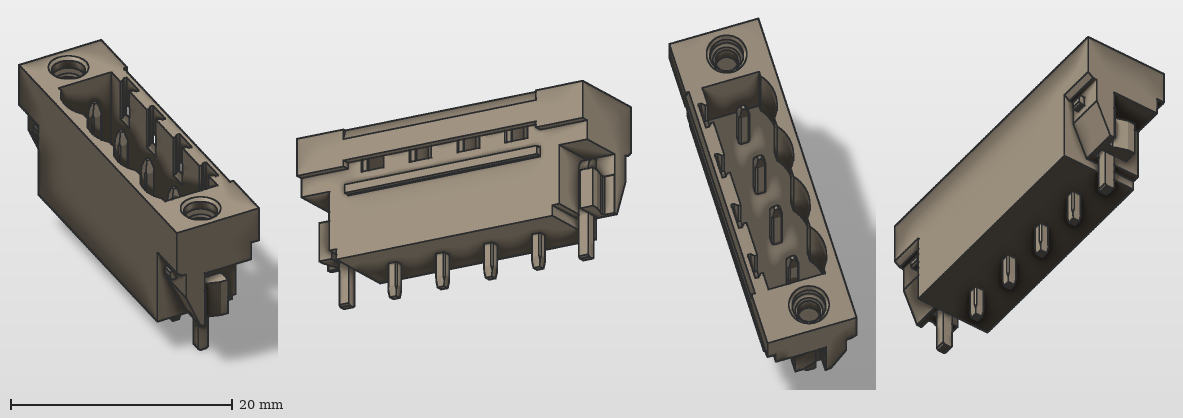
import cadquery as cq


LENGTH = 30.25
HEIGHT = 12.0
FRONT_Y = -3.75
BACK_Y = 4.67
LOWER_BACK_Y = 3.88
OVERHANG_Z = 8.45
CENTER_OVERHANG_Z = 9.05
CORE_LENGTH = 22.85
FLANGE_BOTTOM_Z = 1.0
END_X = LENGTH / 2
CORE_END_X = CORE_LENGTH / 2

POLES = 4
POLE_SPAN = 15.22
PITCH = POLE_SPAN / (POLES - 1)
POLE_XS = [(i - (POLES - 1) / 2) * PITCH for i in range(POLES)]
CAVITY_LENGTH = 20.38
CAVITY_FRONT_Y = -2.3
CAVITY_BACK_Y = 3.05
CAVITY_FLOOR_Z = 3.35
SCALLOP_HALF_WIDTH = 2.12
SCALLOP_DEPTH = 0.75

SLOT_FLOOR_Z = 7.9
SLOT_MOUTH_WIDTH = 1.8
SLOT_BACK_WIDTH = 2.35
SLOT_NECK_DEPTH = 0.25
SLOT_FLARE_DEPTH = 0.3

BEVEL_WIDTH = 0.33
BEVEL_HEIGHT = 0.95
RIB_BOTTOM_Z = 5.97
RIB_HEIGHT = 0.8
RIB_DEPTH = 0.6
RIB_ROOT = 0.1

RELIEF_Y = -2.8
RELIEF_TOP_Z = 7.6
RELIEF_SHELF_Y = -3.2
RELIEF_SHELF_Z = 7.15
RELIEF_FILLET = 0.12
TAPER_TOP_Z = 4.55
TAPER_END_Y = -1.3
POCKET_FRONT_Y = -0.88
POCKET_TOP_Z = 6.65
LATCH_TOP_Z = 4.67
LATCH_OUTER_X = 14.5
LATCH_WAIST_X = 14.13
LATCH_NECK_X = 14.05
LATCH_BACK_Y = 1.85
LATCH_HEAD_Y = 1.12
LATCH_WAIST_Y = -0.05
LATCH_NECK_Y = -0.25
LATCH_ROOT_DEPTH = 0.18
LATCH_ROOT_FLARE = 0.1
LIP_END_X = 15.15
LIP_THICKNESS = 0.1

PIN_WIDTH = 1.0
PIN_BOTTOM_Z = -3.18
CONTACT_TOP_Z = 11.22
CONTACT_BEVEL = 0.15
CONTACT_TIP_LENGTH = 1.27
CONTACT_TIP_WIDTH = 0.35
TAIL_TIP_LENGTH = 1.03
TAIL_TIP_WIDTH = 0.67
FLANGE_X = 12.67
LEG_TOP_Z = 6.5
LEG_END_Y = -3.37
BEND_INNER_RADIUS = 0.25
PIN_END_BEVEL = 0.18

INSERT_RADIUS = 2.12
INSERT_TOP_Z = 10.5
INSERT_HEIGHT = 2.0
INSERT_BOTTOM_Z = INSERT_TOP_Z - INSERT_HEIGHT
CHAMBER_TOP_Z = 10.9
SCREW_HOLE_RADIUS = 1.52
HOLE_BEVEL = 0.3
THREAD_RADIUS = 1.03
THREAD_BEVEL = 0.2


def block(x_range, y_range, z_range):
    """Box between two limits along each axis."""
    (x0, x1), (y0, y1), (z0, z1) = x_range, y_range, z_range
    return cq.Workplane("XY").box(x1 - x0, y1 - y0, z1 - z0, centered=False).translate((x0, y0, z0))


def side_profile(points, x_start, x_end):
    """Prism with a (y, z) outline, running from x_start to x_end."""
    return cq.Workplane("YZ").workplane(offset=x_start).polyline(points).close().extrude(x_end - x_start)


def mirrored(body):
    """The same body at the other end of the part."""
    return body.mirror("YZ")



def contact_section(z, width):
    """Square outline of the given width at height z."""
    return cq.Workplane("XY").workplane(offset=z).rect(width, width)


def make_contact(x):
    """Straight square pin with bevelled edges and a tapered tip at both ends."""
    tail_z = PIN_BOTTOM_Z + TAIL_TIP_LENGTH
    head_z = CONTACT_TOP_Z - CONTACT_TIP_LENGTH
    shaft = (
        contact_section(PIN_BOTTOM_Z, PIN_WIDTH)
        .extrude(CONTACT_TOP_Z - PIN_BOTTOM_Z)
        .edges("|Z")
        .chamfer(CONTACT_BEVEL)
    )
    envelope = contact_section(tail_z, PIN_WIDTH).extrude(head_z - tail_z)
    head = contact_section(head_z, PIN_WIDTH)
    head = head.workplane(offset=CONTACT_TIP_LENGTH).rect(CONTACT_TIP_WIDTH, CONTACT_TIP_WIDTH).loft()
    tail = contact_section(tail_z, PIN_WIDTH)
    tail = tail.workplane(offset=-TAIL_TIP_LENGTH).rect(TAIL_TIP_WIDTH, TAIL_TIP_WIDTH).loft()
    return shaft.intersect(envelope.union(head).union(tail)).translate((x, 0, 0))



def make_solder_pin():
    """L-shaped square pin at the +X end: down through the flange, forward through its front."""
    half = PIN_WIDTH / 2
    bend_outer_radius = BEND_INNER_RADIUS + PIN_WIDTH
    pin = side_profile(
        [
            (half, PIN_BOTTOM_Z),
            (half, LEG_TOP_Z),
            (LEG_END_Y, LEG_TOP_Z),
            (LEG_END_Y, LEG_TOP_Z - PIN_WIDTH),
            (-half, LEG_TOP_Z - PIN_WIDTH),
            (-half, PIN_BOTTOM_Z),
        ],
        FLANGE_X - half,
        FLANGE_X + half,
    )
    pin = pin.edges("|X and >Y and >Z").fillet(bend_outer_radius)
    inner_corner = cq.selectors.NearestToPointSelector((FLANGE_X, -half, LEG_TOP_Z - PIN_WIDTH))
    pin = pin.edges(inner_corner).fillet(BEND_INNER_RADIUS)
    return pin.faces("<Y or <Z").edges("|X").chamfer(PIN_END_BEVEL)



def make_insert():
    """Round nut at the +X end with a bevelled bore."""
    return (
        cq.Workplane("XY", origin=(FLANGE_X, 0, INSERT_BOTTOM_Z))
        .circle(INSERT_RADIUS)
        .circle(THREAD_RADIUS)
        .extrude(INSERT_HEIGHT)
        .faces(">Z")
        .edges(cq.selectors.RadiusNthSelector(0))
        .chamfer(THREAD_BEVEL)
    )



def make_core():
    """Full-length upper block on a shorter lower block, with the rib across the back."""
    upper = block((-END_X, END_X), (FRONT_Y, BACK_Y), (OVERHANG_Z, HEIGHT))
    lower = block((-CORE_END_X, CORE_END_X), (FRONT_Y, LOWER_BACK_Y), (0, OVERHANG_Z))
    rib_top_z = RIB_BOTTOM_Z + RIB_HEIGHT
    rib = side_profile(
        [
            (LOWER_BACK_Y, RIB_BOTTOM_Z - RIB_ROOT),
            (LOWER_BACK_Y + RIB_ROOT, RIB_BOTTOM_Z),
            (LOWER_BACK_Y + RIB_DEPTH, RIB_BOTTOM_Z),
            (LOWER_BACK_Y + RIB_DEPTH, rib_top_z),
            (LOWER_BACK_Y + RIB_ROOT, rib_top_z),
            (LOWER_BACK_Y, rib_top_z + RIB_ROOT),
        ],
        -CAVITY_LENGTH / 2,
        CAVITY_LENGTH / 2,
    )
    bevel = side_profile(
        [(BACK_Y - BEVEL_WIDTH, HEIGHT), (BACK_Y, HEIGHT), (BACK_Y, HEIGHT - BEVEL_HEIGHT)],
        -CAVITY_LENGTH / 2,
        CAVITY_LENGTH / 2,
    )
    raised_overhang = block(
        (-CAVITY_LENGTH / 2, CAVITY_LENGTH / 2), (LOWER_BACK_Y, BACK_Y), (OVERHANG_Z, CENTER_OVERHANG_Z)
    )
    return upper.union(lower).union(rib).cut(bevel).cut(raised_overhang)


def make_flange_foot():
    """Foot at the +X end with its pocket, and the latch that springs from a thin lip at its front."""
    foot = side_profile(
        [
            (FRONT_Y, OVERHANG_Z),
            (FRONT_Y, RELIEF_TOP_Z),
            (RELIEF_SHELF_Y, RELIEF_SHELF_Z),
            (RELIEF_Y, RELIEF_SHELF_Z),
            (RELIEF_Y, TAPER_TOP_Z),
            (TAPER_END_Y, FLANGE_BOTTOM_Z),
            (LOWER_BACK_Y, FLANGE_BOTTOM_Z),
            (LOWER_BACK_Y, OVERHANG_Z),
        ],
        CORE_END_X,
        END_X,
    )
    relief_corner = cq.selectors.NearestToPointSelector((FLANGE_X, RELIEF_Y, RELIEF_SHELF_Z))
    foot = foot.edges(relief_corner).fillet(RELIEF_FILLET)

    pocket_inner_x = FLANGE_X - PIN_WIDTH / 2
    pocket = block(
        (pocket_inner_x, END_X), (POCKET_FRONT_Y, LOWER_BACK_Y), (FLANGE_BOTTOM_Z, POCKET_TOP_Z)
    )

    lip_y = POCKET_FRONT_Y + LIP_THICKNESS
    latch_inner_x = FLANGE_X + PIN_WIDTH / 2
    latch = (
        cq.Workplane("XY", origin=(0, 0, FLANGE_BOTTOM_Z))
        .polyline(
            [
                (latch_inner_x, POCKET_FRONT_Y),
                (latch_inner_x, LATCH_BACK_Y),
                (LATCH_OUTER_X, LATCH_BACK_Y),
                (LATCH_OUTER_X, LATCH_HEAD_Y),
                (LATCH_WAIST_X, LATCH_WAIST_Y),
                (LATCH_NECK_X, LATCH_NECK_Y),
                (LATCH_NECK_X, lip_y + LATCH_ROOT_DEPTH),
                (LATCH_NECK_X + LATCH_ROOT_FLARE, lip_y),
                (LIP_END_X, lip_y),
                (LIP_END_X, POCKET_FRONT_Y),
            ]
        )
        .close()
        .extrude(LATCH_TOP_Z - FLANGE_BOTTOM_Z)
    )
    return foot.cut(pocket).union(latch)


def make_cavity():
    """Plug opening with one scallop per pole along its front wall."""
    half_length = CAVITY_LENGTH / 2
    outline = cq.Workplane("XY", origin=(0, 0, CAVITY_FLOOR_Z)).moveTo(-half_length, CAVITY_FRONT_Y)
    for x in POLE_XS:
        outline = outline.lineTo(x - SCALLOP_HALF_WIDTH, CAVITY_FRONT_Y).threePointArc(
            (x, CAVITY_FRONT_Y - SCALLOP_DEPTH), (x + SCALLOP_HALF_WIDTH, CAVITY_FRONT_Y)
        )
    outline = outline.lineTo(half_length, CAVITY_FRONT_Y)
    outline = outline.lineTo(half_length, CAVITY_BACK_Y).lineTo(-half_length, CAVITY_BACK_Y).close()
    return outline.extrude(HEIGHT - CAVITY_FLOOR_Z)


def make_coding_slot(x):
    """Dovetail slot open at the top, breaking through the back wall below the raised overhang."""
    half_mouth = SLOT_MOUTH_WIDTH / 2
    half_back = SLOT_BACK_WIDTH / 2
    neck_y = CAVITY_BACK_Y + SLOT_NECK_DEPTH
    flare_y = neck_y + SLOT_FLARE_DEPTH
    return (
        cq.Workplane("XY", origin=(x, 0, SLOT_FLOOR_Z))
        .polyline(
            [
                (-half_mouth, CAVITY_BACK_Y),
                (-half_mouth, neck_y),
                (-half_back, flare_y),
                (-half_back, LOWER_BACK_Y),
                (half_back, LOWER_BACK_Y),
                (half_back, flare_y),
                (half_mouth, neck_y),
                (half_mouth, CAVITY_BACK_Y),
            ]
        )
        .close()
        .extrude(HEIGHT - SLOT_FLOOR_Z)
    )


def make_insert_hole():
    """Screw hole at the +X end with a bevelled rim, opening into the wider insert chamber."""
    chamber = (
        cq.Workplane("XY", origin=(FLANGE_X, 0, INSERT_BOTTOM_Z))
        .circle(INSERT_RADIUS)
        .extrude(CHAMBER_TOP_Z - INSERT_BOTTOM_Z)
    )
    screw_hole = (
        cq.Workplane("XY", origin=(FLANGE_X, 0, CHAMBER_TOP_Z))
        .circle(SCREW_HOLE_RADIUS)
        .extrude(HEIGHT - CHAMBER_TOP_Z)
    )
    rim = (
        cq.Workplane("XY", origin=(FLANGE_X, 0, HEIGHT))
        .circle(SCREW_HOLE_RADIUS + HOLE_BEVEL)
        .workplane(offset=-HOLE_BEVEL)
        .circle(SCREW_HOLE_RADIUS)
        .loft()
    )
    return chamber.union(screw_hole).union(rim)


contacts = [make_contact(x) for x in POLE_XS]
solder_pins = [make_solder_pin(), mirrored(make_solder_pin())]
inserts = [make_insert(), mirrored(make_insert())]

housing = make_core()
foot = make_flange_foot()
housing = housing.union(foot).union(mirrored(foot))
housing = housing.cut(make_cavity())
for pole_x in POLE_XS:
    housing = housing.cut(make_coding_slot(pole_x))
insert_hole = make_insert_hole()
housing = housing.cut(insert_hole).cut(mirrored(insert_hole))
for pin in contacts + solder_pins:
    housing = housing.cut(pin)

bodies = [housing] + contacts + solder_pins + inserts
result = cq.Compound.makeCompound([body.val() for body in bodies])